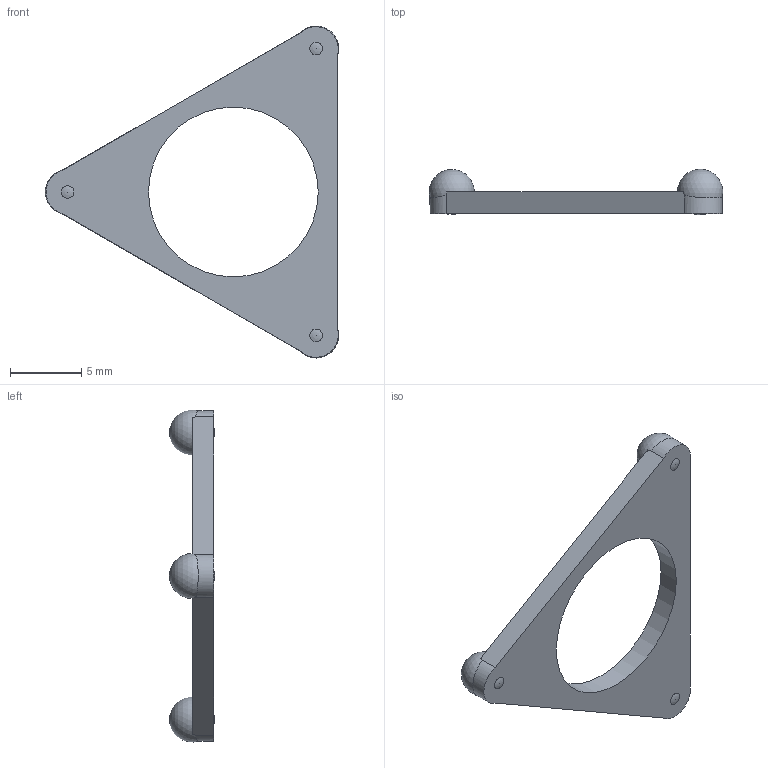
import cadquery as cq
import math

ball_diameter = 3.175
ball_spacing = 20.185
plate_thickness = 1.524
side_offset = 1.515
boss_setback = 0.06
hole_diameter = 11.94

ball_radius = ball_diameter / 2
boss_radius = ball_radius
ball_circle_radius = ball_spacing / math.sqrt(3)
boss_circle_radius = ball_circle_radius - boss_setback
side_distance = ball_circle_radius / 2 + side_offset

corner_angles = [60, 180, 300]
side_angles = [0, 120, 240]


def corner_points(radius):
    """(x, z) positions of the three corners at a given distance from the hole axis."""
    points = []
    for angle in corner_angles:
        turn = math.radians(angle)
        points.append((radius * math.cos(turn), radius * math.sin(turn)))
    return points


def side_end_points():
    """(x, z) ends of the straight sides, each one square to the side from a ball centre."""
    points = []
    for angle in side_angles:
        turn = math.radians(angle)
        for along in (-ball_spacing / 2, ball_spacing / 2):
            x = side_distance * math.cos(turn) - along * math.sin(turn)
            z = side_distance * math.sin(turn) + along * math.cos(turn)
            points.append((x, z))
    return points


def make_plate():
    """Triangular plate from Y = 0 toward -Y, with round corner bosses and a central through hole."""
    body = cq.Workplane("XZ").polyline(side_end_points()).close().extrude(plate_thickness)
    boss_centres = cq.Workplane("XZ").pushPoints(corner_points(boss_circle_radius))
    bosses = boss_centres.circle(boss_radius).extrude(plate_thickness)
    hole = cq.Workplane("XZ").circle(hole_diameter / 2).extrude(plate_thickness)
    return body.union(bosses).cut(hole)


def make_balls():
    """Balls centred on the rear face of the plate (Y = 0), just breaking through its front face."""
    ball_centres = cq.Workplane("XZ").pushPoints(corner_points(ball_circle_radius))
    return ball_centres.sphere(ball_radius)


result = make_plate().union(make_balls())